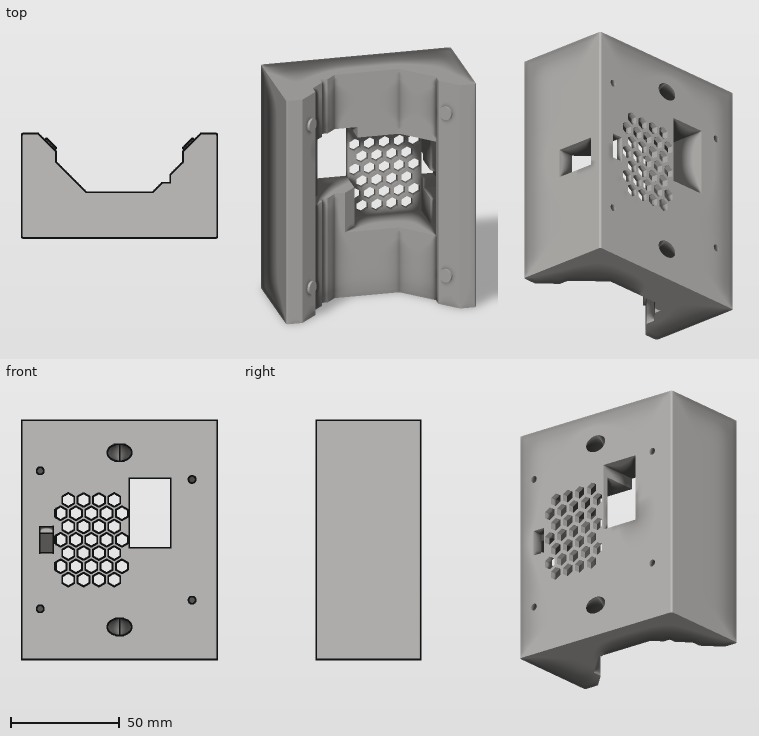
import cadquery as cq
import math

WIDTH = 90.0
DEPTH = 48.1
HEIGHT = 110.0
FRONT_Y = -DEPTH / 2
EDGE_RADIUS = 1.0

CHANNEL_FLOOR_DEPTH = 21.1
CHANNEL_FLOOR_HALF = 15.3
THROAT_HALF = 29.1
THROAT_END_DEPTH = 39.8
STEP_DEPTH = 25.5
STEP_X = 23.2
SLOPE_OFFSET = CHANNEL_FLOOR_DEPTH - CHANNEL_FLOOR_HALF
THROAT_START_DEPTH = THROAT_HALF + SLOPE_OFFSET

PAD_DIAMETER = 6.5
PAD_HEIGHT = 1.2
PAD_X = 32.1
MOUNT_Z = 40.0
BORE_DIAMETER = 7.9
BORE_LENGTH = 22.0
DIAGONAL = math.sqrt(0.5)

WINDOW_LEFT = 4.5
WINDOW_WIDTH = 19.0
WINDOW_BOTTOM = -3.6
WINDOW_HEIGHT = 31.9

FRONT_WALL = 3.0
CAVITY_LEFT = -30.5
CAVITY_RIGHT = WINDOW_LEFT
CAVITY_HALF_HEIGHT = 23.1
FLARE = 6.2
LEFT_FLARE_DEPTH = 19.4
RIGHT_FLARE_DEPTH = 15.2
CAVITY_END_DEPTH = 35.2

HEX_SIDES = 6
HEX_FLATS = 5.4
HEX_PITCH = 7.0
HEX_ROW_PITCH = HEX_PITCH * math.sin(math.radians(60))
HEX_CENTRE_X = -13.0
HEX_ROW_COUNTS = (4, 5, 4, 5, 4, 5, 4)

SLOT_LEFT = CAVITY_LEFT - FLARE
SLOT_HALF_HEIGHT = 6.0
PASSAGE_START_DEPTH = 5.8
PASSAGE_END_DEPTH = LEFT_FLARE_DEPTH + FLARE
PASSAGE_TOP = 3.0
PASSAGE_BOTTOM = -10.8

SCREW_DIAMETER = 3.3
SCREW_DEPTH = 6.6
LEFT_SCREW_X = -36.4
LEFT_SCREW_Z = 31.7
RIGHT_SCREW_X = 33.3
RIGHT_SCREW_Z = 27.7


def prism(points, z_bottom, z_top):
    """Extrude an outline of (x, depth from front) points between two heights."""
    outline = [(x, FRONT_Y + depth) for x, depth in points]
    return cq.Workplane("XY").workplane(offset=z_bottom).polyline(outline).close().extrude(z_top - z_bottom)


def box(x_range, depth_range, z_range):
    """Axis-aligned box with its Y limits given as depths from the front face."""
    (x0, x1), (d0, d1) = x_range, depth_range
    return prism([(x0, d0), (x1, d0), (x1, d1), (x0, d1)], *z_range)


def rod(x, depth, z, direction, diameter, length):
    """Cylinder starting at a point and running along a direction."""
    start = cq.Vector(x, FRONT_Y + depth, z)
    return cq.Workplane(cq.Solid.makeCylinder(diameter / 2, length, start, cq.Vector(*direction)))


def channel():
    mouth_half = THROAT_HALF + DEPTH - THROAT_END_DEPTH
    return prism(
        [
            (-mouth_half, DEPTH),
            (-THROAT_HALF, THROAT_END_DEPTH),
            (-THROAT_HALF, THROAT_START_DEPTH),
            (-CHANNEL_FLOOR_HALF, CHANNEL_FLOOR_DEPTH),
            (CHANNEL_FLOOR_HALF, CHANNEL_FLOOR_DEPTH),
            (STEP_DEPTH - SLOPE_OFFSET, STEP_DEPTH),
            (STEP_X, STEP_DEPTH),
            (STEP_X, STEP_X + SLOPE_OFFSET),
            (THROAT_HALF, THROAT_START_DEPTH),
            (THROAT_HALF, THROAT_END_DEPTH),
            (mouth_half, DEPTH),
        ],
        -HEIGHT / 2,
        HEIGHT / 2,
    )


def speaker_cavity():
    left_flare_end = LEFT_FLARE_DEPTH + FLARE
    right_flare_end = RIGHT_FLARE_DEPTH + FLARE
    return prism(
        [
            (CAVITY_LEFT, FRONT_WALL),
            (CAVITY_RIGHT, FRONT_WALL),
            (CAVITY_RIGHT, RIGHT_FLARE_DEPTH),
            (CAVITY_RIGHT + FLARE, right_flare_end),
            (CAVITY_RIGHT + FLARE, CAVITY_END_DEPTH),
            (CAVITY_LEFT - FLARE, CAVITY_END_DEPTH),
            (CAVITY_LEFT - FLARE, left_flare_end),
            (CAVITY_LEFT, LEFT_FLARE_DEPTH),
        ],
        -CAVITY_HALF_HEIGHT,
        CAVITY_HALF_HEIGHT,
    )


def grille():
    centres = []
    for row, count in enumerate(HEX_ROW_COUNTS):
        z = (row - (len(HEX_ROW_COUNTS) - 1) / 2) * HEX_ROW_PITCH
        for column in range(count):
            centres.append((HEX_CENTRE_X + (column - (count - 1) / 2) * HEX_PITCH, z))
    hexagon = cq.Sketch().regularPolygon(HEX_FLATS / math.sqrt(3), HEX_SIDES)
    plane = cq.Workplane("XZ", origin=(0, FRONT_Y, 0))
    return plane.pushPoints(centres).placeSketch(hexagon).extrude(-FRONT_WALL)


def window():
    """Straight window whose right side flares out to the channel throat behind the channel floor."""
    right = WINDOW_LEFT + WINDOW_WIDTH
    return prism(
        [
            (WINDOW_LEFT, 0),
            (right, 0),
            (right, CHANNEL_FLOOR_DEPTH),
            (THROAT_HALF, CHANNEL_FLOOR_DEPTH + THROAT_HALF - right),
            (THROAT_HALF, THROAT_START_DEPTH),
            (WINDOW_LEFT, THROAT_START_DEPTH),
        ],
        WINDOW_BOTTOM,
        WINDOW_BOTTOM + WINDOW_HEIGHT,
    )


def switch_opening():
    slot = box(
        (SLOT_LEFT, CAVITY_LEFT),
        (0, PASSAGE_START_DEPTH),
        (-SLOT_HALF_HEIGHT, SLOT_HALF_HEIGHT),
    )
    passage = box(
        (-WIDTH / 2, CAVITY_LEFT),
        (PASSAGE_START_DEPTH, PASSAGE_END_DEPTH),
        (PASSAGE_BOTTOM, PASSAGE_TOP),
    )
    return slot.union(passage)


def screw_hole(x, z):
    return rod(x, 0, z, (0, 1, 0), SCREW_DIAMETER, SCREW_DEPTH)


def sloped_screw_hole(x, z):
    """Screw hole whose floor is inclined, deeper toward -X."""
    radius = SCREW_DIAMETER / 2
    keep = prism(
        [
            (x - radius, 0),
            (x + radius, 0),
            (x + radius, SCREW_DEPTH - SCREW_DIAMETER),
            (x - radius, SCREW_DEPTH),
        ],
        z - radius,
        z + radius,
    )
    return screw_hole(x, z).intersect(keep)


def angled_bore(side, z):
    """Blind bore from the middle of the front face, running back toward one side."""
    lead = BORE_DIAMETER
    shift = lead * DIAGONAL
    return rod(-side * shift, -shift, z, (side, 1, 0), BORE_DIAMETER, BORE_LENGTH + lead)


def pad(side, z):
    """Round pad standing square on an upper slope of the channel."""
    root = PAD_HEIGHT
    shift = root * DIAGONAL
    slope_depth = THROAT_END_DEPTH + PAD_X - THROAT_HALF
    return rod(
        side * (PAD_X + shift), slope_depth - shift, z, (-side, 1, 0), PAD_DIAMETER, PAD_HEIGHT + root
    )


body = cq.Workplane("XY").box(WIDTH, DEPTH, HEIGHT).edges("|Z").fillet(EDGE_RADIUS)
body = body.cut(channel()).cut(speaker_cavity()).cut(grille()).cut(window()).cut(switch_opening())

for z in (-MOUNT_Z, MOUNT_Z):
    for side in (-1, 1):
        body = body.cut(angled_bore(side, z)).union(pad(side, z))

for z in (-LEFT_SCREW_Z, LEFT_SCREW_Z):
    body = body.cut(screw_hole(LEFT_SCREW_X, z))
body = body.cut(screw_hole(RIGHT_SCREW_X, -RIGHT_SCREW_Z))
body = body.cut(sloped_screw_hole(RIGHT_SCREW_X, RIGHT_SCREW_Z))

result = body